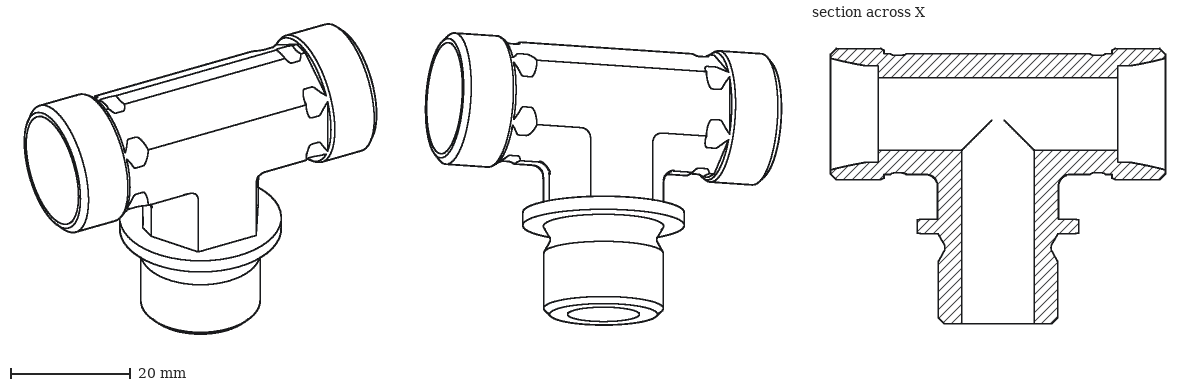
import math

import cadquery as cq


ACROSS_FLATS = 19.0
HEX_HALF_ANGLE = math.radians(30)
RIDGE_WIDTH = 3.0
JUNCTION_RADIUS = 2.0

RUN_HALF_LENGTH = 28.0
COLLAR_DIAMETER = 22.0
COLLAR_LENGTH = 9.0
COLLAR_CHAMFER = 1.0
BORE_DIAMETER = 12.0
SOCKET_DIAMETER = 16.0
SOCKET_DEPTH = 8.0
CONE_MOUTH_DIAMETER = 18.6
CONE_HALF_ANGLE = math.radians(12)

RELIEF_DIAMETER = 19.7
RELIEF_RADIUS = 1.0
RELIEF_FLAT_START = 15.95
RELIEF_FLAT_END = 17.3
RELIEF_ANGLE = math.radians(30)

FLANGE_DIAMETER = 27.0
FLANGE_TOP = -17.5
FLANGE_BOTTOM = -20.0
FLANGE_EDGE_WIDTH = 0.55
FLANGE_EDGE_DROP = 0.15
BRANCH_DIAMETER = 20.0
BRANCH_END = -35.0
BRANCH_CHAMFER = 1.0
UNDERCUT_DIAMETER = 17.8
UNDERCUT_RADIUS = 1.15
UNDERCUT_LENGTH = 4.6
UNDERCUT_ANGLE = math.radians(30)

FULL_TURN = 360
AXIS_START = (0, 0, 0)
AXIS_END = (0, 1, 0)

COLLAR_START = RUN_HALF_LENGTH - COLLAR_LENGTH
HEX_CORNER = ACROSS_FLATS / 2 / math.cos(HEX_HALF_ANGLE)
RIDGE_HEIGHT = HEX_CORNER - RIDGE_WIDTH / 2 * math.tan(HEX_HALF_ANGLE)


def hexagon_prism(plane, length):
    """Hexagon with flats at +-X and its two far corners truncated, extruded along the plane normal."""
    half_flats = ACROSS_FLATS / 2
    half_side = HEX_CORNER / 2
    half_ridge = RIDGE_WIDTH / 2
    corners = [
        (half_flats, -half_side),
        (half_flats, half_side),
        (half_ridge, RIDGE_HEIGHT),
        (-half_ridge, RIDGE_HEIGHT),
        (-half_flats, half_side),
        (-half_flats, -half_side),
        (-half_ridge, -RIDGE_HEIGHT),
        (half_ridge, -RIDGE_HEIGHT),
    ]
    return cq.Workplane(plane).polyline(corners).close().extrude(length)


def make_body():
    """Run and branch hexagons, blended along their mitred inner corners."""
    run = hexagon_prism("XZ", COLLAR_START).union(hexagon_prism("XZ", -COLLAR_START))
    body = run.union(hexagon_prism("XY", FLANGE_TOP)).clean()
    mitre_reach = RIDGE_HEIGHT + JUNCTION_RADIUS
    mitre_start = HEX_CORNER / 2 - JUNCTION_RADIUS
    selections = []
    for side in (-1, 1):
        low_y, high_y = sorted((side * mitre_start, side * mitre_reach))
        lower = (-ACROSS_FLATS, low_y, -mitre_reach)
        upper = (ACROSS_FLATS, high_y, -mitre_start)
        selections.append(cq.selectors.BoxSelector(lower, upper, boundingbox=True))
    return body.edges(selections[0] + selections[1]).fillet(JUNCTION_RADIUS)


def both_run_ends(end):
    """The given +Y end feature together with its mirror image at -Y."""
    return end.union(end.mirror("XZ"))


def make_collar():
    """Threaded collar at the +Y end, chamfered at its mouth."""
    return (
        cq.Workplane("XZ", origin=(0, COLLAR_START, 0))
        .circle(COLLAR_DIAMETER / 2)
        .extrude(-COLLAR_LENGTH)
        .faces(">Y")
        .chamfer(COLLAR_CHAMFER)
    )


def make_relief():
    """Ring cutter: flat floor, quarter round toward the branch, cone rising to the collar thread."""
    floor = RELIEF_DIAMETER / 2
    outer = HEX_CORNER + RELIEF_RADIUS
    arc_center_x = floor + RELIEF_RADIUS

    def arc_point(y, angle):
        x = arc_center_x - RELIEF_RADIUS * math.cos(angle)
        return (x, y + RELIEF_RADIUS * math.sin(angle))

    cone_start = arc_point(RELIEF_FLAT_END, RELIEF_ANGLE)
    cone_end_y = cone_start[1] + (outer - cone_start[0]) / math.tan(RELIEF_ANGLE)
    return (
        cq.Workplane("XY")
        .moveTo(outer, RELIEF_FLAT_START - RELIEF_RADIUS)
        .lineTo(arc_center_x, RELIEF_FLAT_START - RELIEF_RADIUS)
        .threePointArc(arc_point(RELIEF_FLAT_START, -math.pi / 4), (floor, RELIEF_FLAT_START))
        .lineTo(floor, RELIEF_FLAT_END)
        .threePointArc(arc_point(RELIEF_FLAT_END, RELIEF_ANGLE / 2), cone_start)
        .lineTo(outer, cone_end_y)
        .close()
        .revolve(FULL_TURN, AXIS_START, AXIS_END)
    )


def make_tube_socket():
    """Cutter for one run end: tapered mouth, tube socket and bore to the centre."""
    mouth = CONE_MOUTH_DIAMETER / 2
    socket = SOCKET_DIAMETER / 2
    cone_depth = (mouth - socket) / math.tan(CONE_HALF_ANGLE)
    profile = [
        (0, 0),
        (BORE_DIAMETER / 2, 0),
        (BORE_DIAMETER / 2, RUN_HALF_LENGTH - SOCKET_DEPTH),
        (socket, RUN_HALF_LENGTH - SOCKET_DEPTH),
        (socket, RUN_HALF_LENGTH - cone_depth),
        (mouth, RUN_HALF_LENGTH),
        (0, RUN_HALF_LENGTH),
    ]
    return cq.Workplane("XY").polyline(profile).close().revolve(FULL_TURN, AXIS_START, AXIS_END)


def make_branch_end():
    """Flange, rounded V undercut and chamfered thread, turned about Z."""
    flange = FLANGE_DIAMETER / 2
    thread = BRANCH_DIAMETER / 2
    neck = UNDERCUT_DIAMETER / 2
    undercut_middle = FLANGE_BOTTOM - UNDERCUT_LENGTH / 2
    arc_x = neck + UNDERCUT_RADIUS * (1 - math.cos(UNDERCUT_ANGLE))
    arc_half = UNDERCUT_RADIUS * math.sin(UNDERCUT_ANGLE)
    cone_length = UNDERCUT_LENGTH / 2 - arc_half
    flange_root = arc_x + cone_length * math.tan(UNDERCUT_ANGLE)
    return (
        cq.Workplane("XZ")
        .moveTo(0, FLANGE_TOP)
        .lineTo(flange - FLANGE_EDGE_WIDTH, FLANGE_TOP)
        .lineTo(flange, FLANGE_TOP - FLANGE_EDGE_DROP)
        .lineTo(flange, FLANGE_BOTTOM + FLANGE_EDGE_DROP)
        .lineTo(flange - FLANGE_EDGE_WIDTH, FLANGE_BOTTOM)
        .lineTo(flange_root, FLANGE_BOTTOM)
        .lineTo(arc_x, undercut_middle + arc_half)
        .threePointArc((neck, undercut_middle), (arc_x, undercut_middle - arc_half))
        .lineTo(thread, FLANGE_BOTTOM - UNDERCUT_LENGTH)
        .lineTo(thread, BRANCH_END + BRANCH_CHAMFER)
        .lineTo(thread - BRANCH_CHAMFER, BRANCH_END)
        .lineTo(0, BRANCH_END)
        .close()
        .revolve(FULL_TURN, AXIS_START, AXIS_END)
    )


def make_branch_bore():
    """Cutter joining the branch end to the run bore."""
    return cq.Workplane("XY").circle(BORE_DIAMETER / 2).extrude(BRANCH_END)


result = (
    make_body()
    .union(both_run_ends(make_collar()))
    .cut(both_run_ends(make_relief()))
    .union(make_branch_end())
    .cut(both_run_ends(make_tube_socket()))
    .cut(make_branch_bore())
)